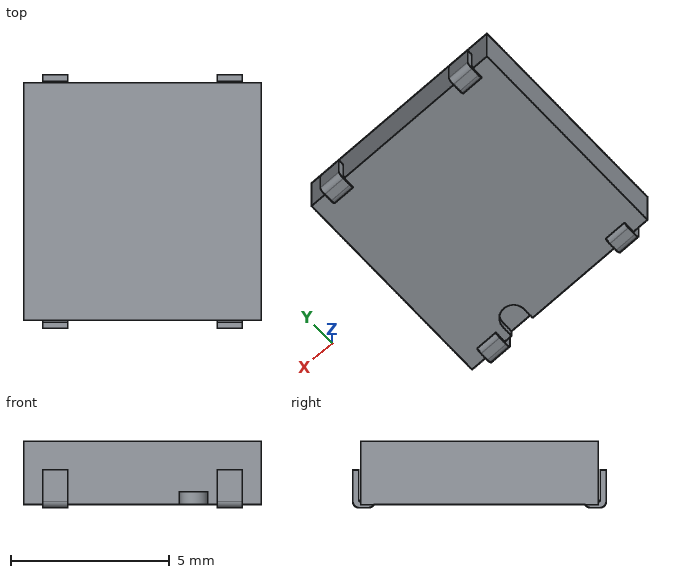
import cadquery as cq

body_side = 7.5
body_height = 2.0

overall_depth = 8.0
lead_pitch = 5.5
lead_width = 0.8
lead_top = 1.1
foot_drop = 0.1
foot_length = 0.7
lead_gap = 0.05
bend_outer_radius = 0.2
bend_inner_radius = 0.05

lead_thickness = (overall_depth - body_side) / 2 - lead_gap
foot_tip_radius = lead_thickness

notch_x = 1.61
notch_radius = 0.45
notch_wall_length = 0.4
notch_height = 0.4


def make_body():
    return cq.Workplane("XY").box(body_side, body_side, body_height, centered=(True, True, False))


def cut_notch(body):
    wall_y = -body_side / 2
    round_center_y = wall_y + notch_wall_length
    round_end = (
        cq.Workplane("XY")
        .center(notch_x, round_center_y)
        .circle(notch_radius)
        .extrude(notch_height)
    )
    straight_part = (
        cq.Workplane("XY")
        .center(notch_x, wall_y)
        .rect(2 * notch_radius, 2 * notch_wall_length)
        .extrude(notch_height)
    )
    return body.cut(straight_part).cut(round_end)


def make_front_lead(x_center):
    """L-shaped lead on the -Y wall, with a rounded bend and a rounded foot tip."""
    outer_y = -overall_depth / 2
    inner_y = outer_y + lead_thickness
    tip_y = outer_y + foot_length
    foot_bottom = -foot_drop
    foot_top = foot_bottom + lead_thickness
    tip_start_y = tip_y - foot_tip_radius

    profile = (
        cq.Workplane("YZ", origin=(x_center - lead_width / 2, 0, 0))
        .moveTo(outer_y, lead_top)
        .lineTo(outer_y, foot_bottom + bend_outer_radius)
        .radiusArc((outer_y + bend_outer_radius, foot_bottom), -bend_outer_radius)
        .lineTo(tip_start_y, foot_bottom)
        .radiusArc((tip_y, foot_top), -foot_tip_radius)
        .lineTo(inner_y + bend_inner_radius, foot_top)
        .radiusArc((inner_y, foot_top + bend_inner_radius), bend_inner_radius)
        .lineTo(inner_y, lead_top)
        .close()
    )
    return profile.extrude(lead_width)


def add_leads(body):
    for x_center in (-lead_pitch / 2, lead_pitch / 2):
        front_lead = make_front_lead(x_center)
        back_lead = front_lead.mirror("XZ")
        body = body.union(front_lead).union(back_lead)
    return body


result = add_leads(cut_notch(make_body()))